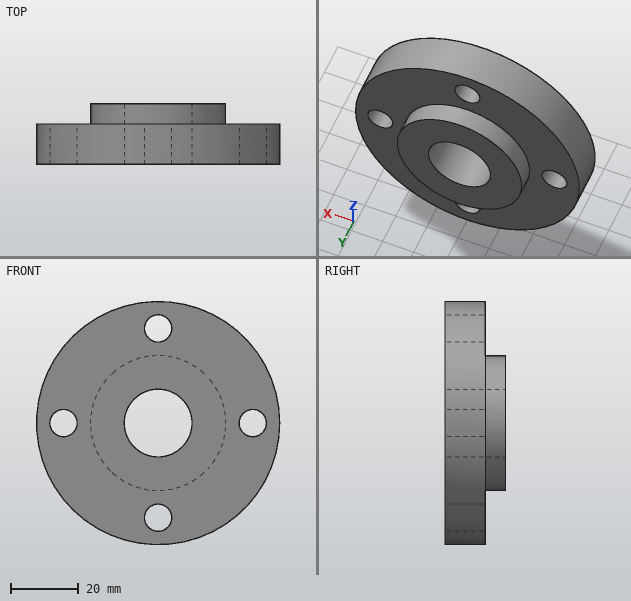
import cadquery as cq

flange_diameter = 72.0
flange_thickness = 12.0
hub_diameter = 40.0
hub_height = 6.0
bore_diameter = 20.0

bolt_hole_diameter = 8.0
bolt_circle_diameter = 56.0
bolt_hole_count = 4

total_depth = flange_thickness + hub_height


def cylinder_along_y(diameter, length):
    """Cylinder about the Y axis, from the front face (Y = 0) toward +Y."""
    return cq.Workplane("XZ").circle(diameter / 2).extrude(-length)


def bolt_holes():
    """Cutters for the bolt holes, passing through the flange."""
    return (
        cq.Workplane("XZ")
        .polarArray(bolt_circle_diameter / 2, 0, 360, bolt_hole_count)
        .circle(bolt_hole_diameter / 2)
        .extrude(-flange_thickness)
    )


flange = cylinder_along_y(flange_diameter, flange_thickness)
hub = cylinder_along_y(hub_diameter, total_depth)
bore = cylinder_along_y(bore_diameter, total_depth)

result = flange.union(hub).cut(bore).cut(bolt_holes())